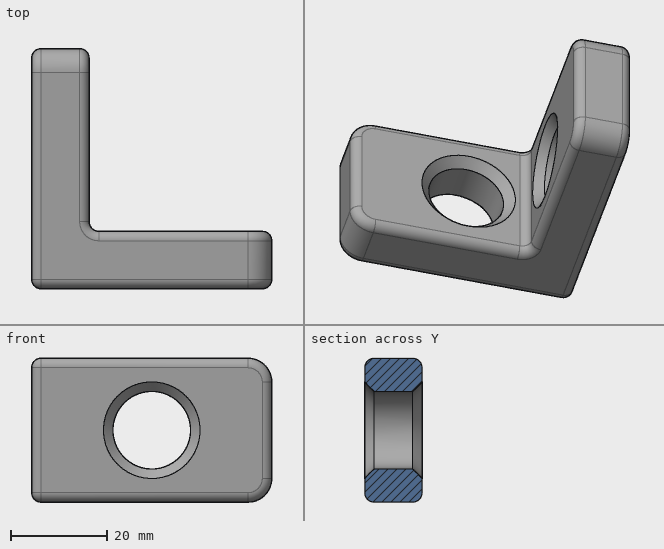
import cadquery as cq

leg_length = 50.0
height = 30.0
thickness = 12.0
end_corner_radius = 5.0
edge_radius = 2.0
hole_diameter = 16.1
hole_chamfer = 2.0

hole_offset = leg_length / 2
hole_height = height / 2


def make_bracket():
    """L-shaped body with rounded free ends and a rounded inner corner."""
    body = (
        cq.Workplane("XY")
        .moveTo(0, 0)
        .lineTo(leg_length, 0)
        .lineTo(leg_length, thickness)
        .lineTo(thickness, thickness)
        .lineTo(thickness, leg_length)
        .lineTo(0, leg_length)
        .close()
        .extrude(height)
    )
    body = body.faces(">X").edges("|Y").fillet(end_corner_radius)
    body = body.faces(">Y").edges("|X").fillet(end_corner_radius)
    inner_corner = cq.selectors.NearestToPointSelector((thickness, thickness, height / 2))
    return body.edges("|Z").edges(inner_corner).fillet(edge_radius)


def round_edges(body):
    """Round the rims of the outer walls and the rim of the inner walls."""
    body = body.faces("<X or <Y").edges().fillet(edge_radius)
    inner_top_arc = cq.selectors.NearestToPointSelector((thickness, thickness, height))
    return body.edges(inner_top_arc).fillet(edge_radius)


def make_hole_cutter(direction, center):
    """Hole through one wall, chamfered at both mouths; center is on the outer face."""
    hole_radius = hole_diameter / 2
    mouth_radius = hole_radius + hole_chamfer
    half_section = (
        cq.Workplane("XY")
        .moveTo(0, 0)
        .lineTo(mouth_radius, 0)
        .lineTo(hole_radius, hole_chamfer)
        .lineTo(hole_radius, thickness - hole_chamfer)
        .lineTo(mouth_radius, thickness)
        .lineTo(0, thickness)
        .close()
    )
    cutter = half_section.revolve(360, (0, 0, 0), (0, 1, 0))
    if direction == "X":
        cutter = cutter.rotate((0, 0, 0), (0, 0, 1), -90)
    return cutter.translate(center)


result = round_edges(make_bracket())
result = result.cut(make_hole_cutter("Y", (hole_offset, 0, hole_height)))
result = result.cut(make_hole_cutter("X", (0, hole_offset, hole_height)))